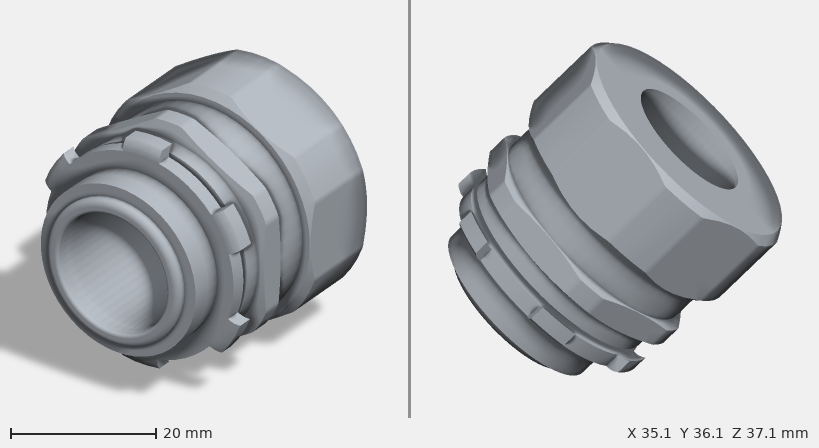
import cadquery as cq
import math


bore_diameter = 18.3
lip_diameter = 22.3
lip_outer_round = 1.0
lip_inner_round = 0.5

spigot_diameter = 26.0
collar_diameter = 31.2
barrel_diameter = 32.5

spigot_start = 1.5
washer_start = 6.63
collar_start = 10.08
body_nut_start = 12.7
barrel_start = 17.0
cap_nut_start = 22.4
cap_nut_end = 36.05

hex_sides = 6
quarter_turn = 90.0
cap_nut_flats = 35.1
cap_nut_corners = 37.1
cap_nut_chamfer = 1.1
body_nut_flats = 32.8
body_nut_corners = 35.6
body_nut_chamfer_angle = 20.0
nut_edge_round = 2.0

washer_thickness = 2.35
washer_diameter = 31.5
tab_tip_diameter = 35.0
tab_width = 6.1
tab_bend_radius = 2.5
tab_count = 6
tab_turn = 0.75


def turned(profile):
    """Revolve a closed (radius, y) outline around the Y axis."""
    return profile.close().revolve(360, (0, 0, 0), (0, 1, 0))


def cylinder(diameter, start, end):
    """Solid cylinder on the Y axis between two places along it."""
    base = cq.Workplane("XZ", origin=(0, start, 0))
    return base.circle(diameter / 2).extrude(start - end)


def hex_nut(flats, corners, start, end, front_end, rear_end):
    """Hexagon with corners on Z, turned to the corner diameter and coned at both ends.

    Each of front_end and rear_end is a (radius, cone length) pair.
    """
    sharp_corners = flats / math.cos(math.pi / hex_sides)
    hexagon = (
        cq.Workplane("XZ", origin=(0, start, 0))
        .polygon(hex_sides, sharp_corners)
        .extrude(start - end)
        .rotate((0, 0, 0), (0, 1, 0), quarter_turn)
    )
    prism = hexagon.intersect(cylinder(corners, start, end)).edges("|Y").fillet(nut_edge_round)
    front_radius, front_length = front_end
    rear_radius, rear_length = rear_end
    envelope = turned(
        cq.Workplane("XY")
        .moveTo(0, start)
        .lineTo(front_radius, start)
        .lineTo(corners / 2, start + front_length)
        .lineTo(corners / 2, end - rear_length)
        .lineTo(rear_radius, end)
        .lineTo(0, end)
    )
    return prism.intersect(envelope)


def make_cap_nut():
    """Large nut with 45 degree chamfers."""
    chamfered_end = (cap_nut_corners / 2 - cap_nut_chamfer, cap_nut_chamfer)
    return hex_nut(cap_nut_flats, cap_nut_corners, cap_nut_start, cap_nut_end, chamfered_end, chamfered_end)


def make_body_nut():
    """Thin nut whose shallow cones run down to the neighbouring diameters."""
    slope = math.tan(math.radians(body_nut_chamfer_angle))

    def coned_end(neighbour_diameter):
        drop = (body_nut_corners - neighbour_diameter) / 2
        return neighbour_diameter / 2, drop * slope

    return hex_nut(
        body_nut_flats,
        body_nut_corners,
        body_nut_start,
        barrel_start,
        coned_end(collar_diameter),
        coned_end(barrel_diameter),
    )


def make_washer():
    """Flat ring with tabs that bend back toward the collar."""
    ring_end = washer_start + washer_thickness
    ring_radius = washer_diameter / 2
    root_radius = spigot_diameter / 2
    tip_radius = tab_tip_diameter / 2
    ring = cylinder(washer_diameter, washer_start, ring_end)

    tip_angle = math.asin((tip_radius - ring_radius) / tab_bend_radius)
    tip_setback = tab_bend_radius * (1 - math.cos(tip_angle))
    mid_radius = ring_radius + tab_bend_radius * math.sin(tip_angle / 2)
    mid_setback = tab_bend_radius * (1 - math.cos(tip_angle / 2))
    dish = turned(
        cq.Workplane("XY")
        .moveTo(root_radius, washer_start)
        .lineTo(ring_radius, washer_start)
        .threePointArc((mid_radius, washer_start + mid_setback), (tip_radius, washer_start + tip_setback))
        .lineTo(tip_radius, ring_end + tip_setback)
        .threePointArc((mid_radius, ring_end + mid_setback), (ring_radius, ring_end))
        .lineTo(root_radius, ring_end)
    )
    tab_band = cq.Workplane("XY").box(tab_width, cap_nut_end, tip_radius, centered=(True, False, False))
    tab = dish.intersect(tab_band)
    for index in range(tab_count):
        angle = tab_turn + index * 360 / tab_count
        ring = ring.union(tab.rotate((0, 0, 0), (0, 1, 0), angle))
    return ring


def make_lip():
    """Front lip, rounded on its outer rim."""
    return cylinder(lip_diameter, 0, spigot_start).faces("<Y").edges().fillet(lip_outer_round)


def make_bore():
    """Through bore with a rounded mouth at the lip."""
    bore_radius = bore_diameter / 2
    mouth_radius = bore_radius + lip_inner_round
    arc_offset = lip_inner_round * (1 - math.cos(math.pi / 4))
    return turned(
        cq.Workplane("XY")
        .moveTo(0, 0)
        .lineTo(mouth_radius, 0)
        .threePointArc((bore_radius + arc_offset, arc_offset), (bore_radius, lip_inner_round))
        .lineTo(bore_radius, cap_nut_end)
        .lineTo(0, cap_nut_end)
    )


result = (
    make_lip()
    .union(cylinder(spigot_diameter, spigot_start, collar_start))
    .union(make_washer())
    .union(cylinder(collar_diameter, collar_start, body_nut_start))
    .union(make_body_nut())
    .union(cylinder(barrel_diameter, barrel_start, cap_nut_start))
    .union(make_cap_nut())
    .cut(make_bore())
)